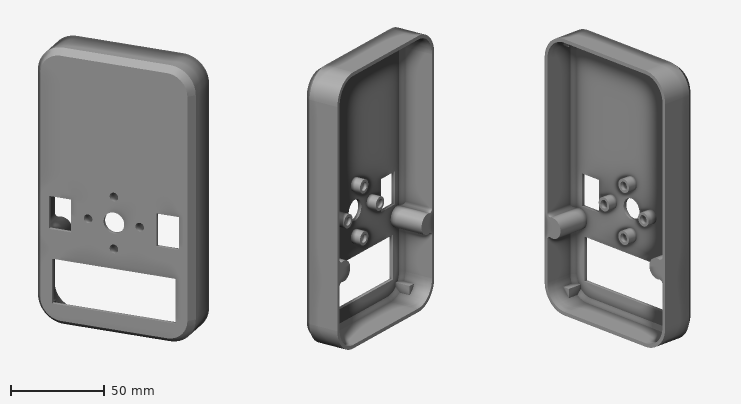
import cadquery as cq
import math

width, depth, height = 92.0, 22.0, 160
corner_radius = 15.0
bevel_inset = 3.2
bevel_depth = 4.0
wall = 2.0
plate = wall
inner_width = width - 2 * wall
inner_height = height - 2 * wall
inner_radius = corner_radius - wall

control_z = -15.0
button_diameter = 12.0
led_diameter = 5.0
led_offset = 15.0
sleeve_diameter = 8
sleeve_end = 8
window_width, window_height = 13.0, 19.0
window_x = 31.4
display_width, display_height = 72, 26.0
display_z = -54.5

post_diameter = 12.0
post_radius = post_diameter / 2
post_inset = 4.0
post_z = -32.2
post_blend = 2.0

block_width, block_height = 5.3, 7.8
block_end = 11.2


def box(x, z, size_x, size_z, y_start, y_end):
    """Box centred at (x, z) that runs from y_start to y_end."""
    center = (x, (y_start + y_end) / 2, z)
    return cq.Workplane("XY").box(size_x, y_end - y_start, size_z).translate(center)


def rod(x, z, diameter, y_start, y_end):
    """Cylinder along Y that runs from y_start to y_end."""
    base = cq.Workplane("XZ", origin=(x, y_start, z))
    return base.circle(diameter / 2).extrude(y_start - y_end)


def rounded_block(size_x, size_z, radius, y_start, y_end):
    """Centred box with its four edges along Y rounded."""
    return box(0, 0, size_x, size_z, y_start, y_end).edges("|Y").fillet(radius)


outer = rounded_block(width, height, corner_radius, 0, depth)
outer = outer.faces("<Y").chamfer(bevel_inset, bevel_depth)
hollow = outer.cut(outer.faces(">Y").shell(-wall))
cavity = rounded_block(inner_width, inner_height, inner_radius, plate, depth)

post_edge_z = math.sqrt(post_radius**2 - post_inset**2)
for side in (-1, 1):
    wall_x = side * inner_width / 2
    post_x = wall_x - side * post_inset
    cavity = cavity.cut(rod(post_x, post_z, post_diameter, plate, depth))
    for end in (-1, 1):
        edge_middle = (wall_x, (plate + depth) / 2, post_z + end * post_edge_z)
        post_edge = cq.selectors.NearestToPointSelector(edge_middle)
        cavity = cavity.edges("|Y").edges(post_edge).fillet(post_blend)
        block_x = wall_x - side * block_width / 2
        block_z = end * (inner_height - block_height) / 2
        cavity = cavity.cut(box(block_x, block_z, block_width, block_height, plate, block_end))

result = outer.cut(cavity.intersect(hollow))

led_places = [(-led_offset, control_z), (led_offset, control_z)]
led_places += [(0, control_z - led_offset), (0, control_z + led_offset)]
for x, z in led_places:
    result = result.union(rod(x, z, sleeve_diameter, plate, sleeve_end))
    result = result.cut(rod(x, z, led_diameter, 0, sleeve_end))

result = result.cut(rod(0, control_z, button_diameter, 0, plate))
for side in (-1, 1):
    result = result.cut(box(side * window_x, control_z, window_width, window_height, 0, plate))
result = result.cut(box(0, display_z, display_width, display_height, 0, plate))